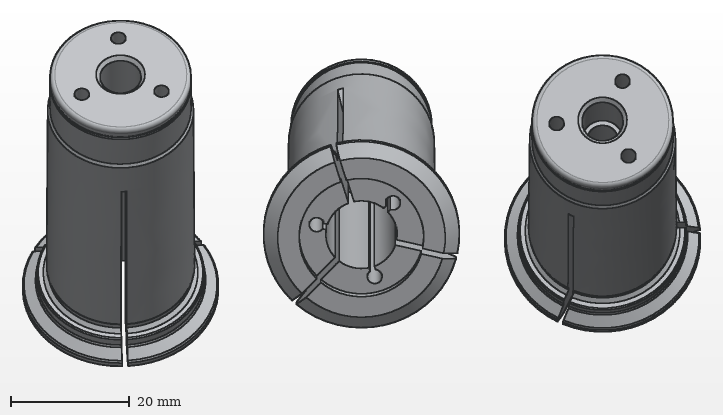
import cadquery as cq

height = 60.5
flange_radius = 33.0 / 2
collar_radius = 14.1
body_bottom_radius = 12.45
body_top_radius = 12.3
head_radius = 23.8 / 2
top_face_radius = 22.2 / 2
neck_radius = 12.2
neck_foot_radius = 13.0
edge_break = 0.25

flange_bottom = 1.6
flange_top = 2.5
flange_cone_start = 2.85
flange_cone_end = 4.0
collar_bottom = 4.35
collar_top = 6.05
neck_bottom = 6.65
neck_top = 7.55
body_bottom = 8.0
body_top = 50.7
body_chamfer_top = 51.25
head_groove_bottom = 58.0
head_groove_top = 58.55
head_groove_depth = 0.2
top_rounding = head_radius - top_face_radius

bore_radius = 12.0 / 2
bore_top = 41.5
recess_radius = 20.95 / 2
recess_depth = flange_bottom
passage_radius = 5.2 / 2
socket_radius = 6.9 / 2
socket_mouth_radius = 8.2 / 2
socket_depth = 9.7

hole_count = 3
hole_angle_step = 360 / hole_count
hole_diameter = 2.5
hole_circle_radius = 7.75

slit_width = 0.95
slit_top = 44.15
slit_end_drop = slit_top - bore_top
slit_outer_reach = flange_radius + 0.6


def revolve_profile(points):
    """Revolve a closed (radius, height) outline about the Z axis."""
    return cq.Workplane("XZ").polyline(points).close().revolve(360, (0, 0), (0, 1))


def sleeve_blank():
    """Turned outside with flange, collar, relief neck, tapered body and head."""
    blank = revolve_profile([
        (0, 0),
        (collar_radius, 0),
        (flange_radius, flange_bottom),
        (flange_radius, flange_top),
        (flange_radius - edge_break, flange_cone_start),
        (collar_radius + edge_break, flange_cone_end),
        (collar_radius, collar_bottom),
        (collar_radius, collar_top - edge_break),
        (collar_radius - edge_break, collar_top),
        (neck_foot_radius, collar_top),
        (neck_radius, neck_bottom),
        (neck_radius, neck_top),
        (body_bottom_radius, body_bottom),
        (body_top_radius, body_top),
        (head_radius, body_chamfer_top),
        (head_radius, head_groove_bottom),
        (head_radius - head_groove_depth, head_groove_top),
        (head_radius, head_groove_top),
        (head_radius, height),
        (0, height),
    ])
    return blank.faces(">Z").edges().fillet(top_rounding)


def central_bore():
    """Bottom recess, clamping bore, narrow passage and countersunk top socket."""
    return revolve_profile([
        (0, 0),
        (recess_radius, 0),
        (recess_radius, recess_depth),
        (bore_radius, recess_depth),
        (bore_radius, bore_top),
        (passage_radius, bore_top),
        (passage_radius, height - socket_depth),
        (socket_radius, height - socket_depth),
        (socket_radius, height - (socket_mouth_radius - socket_radius)),
        (socket_mouth_radius, height),
        (0, height),
    ])


def coolant_holes():
    """Straight holes through the whole length, the first one on +X."""
    return (
        cq.Workplane("XY")
        .polarArray(hole_circle_radius, 0, 360, hole_count)
        .circle(hole_diameter / 2)
        .extrude(height)
    )


def slit():
    """Slit from the +X coolant hole across the bore and out on -X, with a 45 degree runout."""
    runout_outer = -body_top_radius
    runout_inner = runout_outer + slit_end_drop
    return (
        cq.Workplane("XZ")
        .moveTo(hole_circle_radius, 0)
        .lineTo(hole_circle_radius, bore_top)
        .lineTo(runout_inner, bore_top)
        .lineTo(runout_outer, slit_top)
        .lineTo(-slit_outer_reach, slit_top)
        .lineTo(-slit_outer_reach, 0)
        .close()
        .extrude(slit_width / 2, both=True)
    )


result = sleeve_blank().cut(central_bore()).cut(coolant_holes())
for index in range(hole_count):
    result = result.cut(slit().rotate((0, 0, 0), (0, 0, 1), index * hole_angle_step))